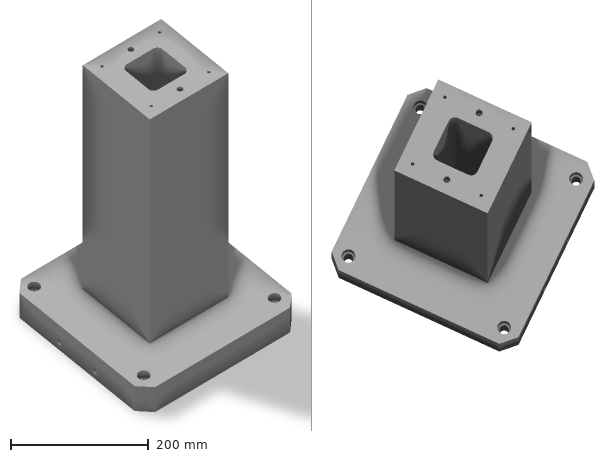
import cadquery as cq
import math

total_height = 500.0
base_width = 300.0
base_height = 50.0
corner_chamfer = 21.0
column_width = 150.0

bore_width = 70.0
bore_corner_radius = 10.0

mount_spacing_x = 245.0
mount_offset_x = -2.5
mount_spacing_y = 250.0
mount_diameter = 14.0
counterbore_diameter = 20.0
counterbore_depth = 15.0

drill_tip_angle = 118.0
top_hole_spacing = 110.0
small_diameter = 5.0
small_depth = 15.0
large_diameter = 10.0
large_depth = 20.0
side_hole_spacing = 80.0
side_hole_height = 15.0


def blind_drill(diameter, depth, position, direction):
    """Drilled hole with a conical bottom, entering at position along direction."""
    radius = diameter / 2
    tip_length = radius / math.tan(math.radians(drill_tip_angle / 2))
    entry = cq.Vector(*position)
    axis = cq.Vector(*direction)
    barrel = cq.Solid.makeCylinder(radius, depth, entry, axis)
    tip = cq.Solid.makeCone(radius, 0, tip_length, entry + axis * depth, axis)
    return barrel.fuse(tip)


base = cq.Workplane("XY").box(base_width, base_width, base_height, centered=(True, True, False))
base = base.edges("|Z").chamfer(corner_chamfer)

base = (
    base.faces(">Z").workplane()
    .center(mount_offset_x, 0)
    .rect(mount_spacing_x, mount_spacing_y, forConstruction=True).vertices()
    .cboreHole(mount_diameter, counterbore_diameter, counterbore_depth)
)

column = cq.Workplane("XY").box(column_width, column_width, total_height, centered=(True, True, False))

bore = cq.Workplane("XY").box(bore_width, bore_width, total_height, centered=(True, True, False))
bore = bore.edges("|Z").fillet(bore_corner_radius)

result = base.union(column).cut(bore)

down = (0, 0, -1)
inward = (0, 1, 0)
for side in (-1, 1):
    hole_x = side * top_hole_spacing / 2
    for hole_y in (-top_hole_spacing / 2, top_hole_spacing / 2):
        result = result.cut(blind_drill(small_diameter, small_depth, (hole_x, hole_y, total_height), down))
    result = result.cut(blind_drill(large_diameter, large_depth, (hole_x, 0, total_height), down))

    side_entry = (side * side_hole_spacing / 2, -base_width / 2, side_hole_height)
    result = result.cut(blind_drill(large_diameter, large_depth, side_entry, inward))